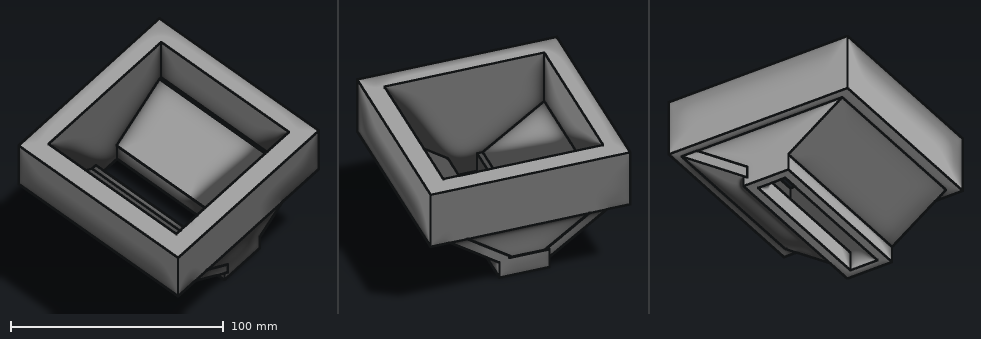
import cadquery as cq
import math

frame_side = 100.0
frame_wall = 10.0
frame_bottom = 30.0
frame_top = 60.0
opening = frame_side - 2 * frame_wall

slope = math.radians(35.3)
plate_thickness = 5.0
plate_length = 90.0
rear_plate_left = -plate_length / 2
front_plate_left = -44.7
rear_toe_y = 8.2
rear_toe_z = 10.9
rear_head_y = 38.7
front_toe_y = -9.2
front_head_y = -opening / 2

spout_height = 10.2
spout_left = -plate_length / 2
spout_right = plate_length / 2
spout_front = -11.4
spout_rear = 13.7
spout_wall = 5.0

end_left = -44.4
end_right = 45.0

plate_drop = plate_thickness / math.cos(slope)
toe_shift = plate_thickness * math.sin(slope)
toe_drop = plate_thickness * math.cos(slope)
rear_head_z = rear_toe_z + (rear_head_y - rear_toe_y) * math.tan(slope)
front_head_z = spout_height + (front_toe_y - front_head_y) * math.tan(slope)


def prism(points, x_start, x_end):
    """Extrude a closed YZ outline between two X positions."""
    outline = cq.Workplane("YZ").workplane(offset=x_start).polyline(points).close()
    return outline.extrude(x_end - x_start)


def block(x_range, y_range, z_range):
    """Box given by its limits along each axis."""
    (x0, x1), (y0, y1), (z0, z1) = x_range, y_range, z_range
    return cq.Workplane("XY").box(x1 - x0, y1 - y0, z1 - z0, centered=False).translate((x0, y0, z0))


def make_frame():
    height = frame_top - frame_bottom
    base = cq.Workplane("XY").workplane(offset=frame_bottom)
    outer = base.rect(frame_side, frame_side).extrude(height)
    return outer.cut(base.rect(opening, opening).extrude(height))


def make_rear_plate():
    outer_y = rear_toe_y + toe_shift
    outer_z = rear_toe_z - toe_drop
    frame_y = outer_y + (frame_bottom - outer_z) / math.tan(slope)
    head_y = opening / 2
    points = [
        (rear_toe_y, rear_toe_z),
        (rear_head_y, rear_head_z),
        (head_y, rear_head_z),
        (head_y, frame_bottom),
        (frame_y, frame_bottom),
        (outer_y, outer_z),
    ]
    return prism(points, rear_plate_left, rear_plate_left + plate_length)


def make_front_plate():
    frame_y = front_toe_y - (frame_bottom - spout_height + plate_drop) / math.tan(slope)
    points = [
        (front_toe_y, spout_height),
        (front_head_y, front_head_z),
        (front_head_y, frame_bottom),
        (frame_y, frame_bottom),
        (front_toe_y, spout_height - plate_drop),
    ]
    return prism(points, front_plate_left, front_plate_left + plate_length)


def make_end_plate(x_start, x_end):
    rear_y = rear_toe_y + (frame_bottom - rear_toe_z) / math.tan(slope)
    front_y = front_toe_y - (frame_bottom - spout_height) / math.tan(slope)
    points = [
        (front_toe_y, spout_height),
        (front_y, frame_bottom),
        (rear_y, frame_bottom),
        (rear_toe_y, rear_toe_z),
        (spout_rear - spout_wall, spout_height),
    ]
    return prism(points, x_start, x_end)


def make_spout():
    z_range = (0, spout_height)
    outer = block((spout_left, spout_right), (spout_front, spout_rear), z_range)
    slot_y = (spout_front + spout_wall, spout_rear - spout_wall)
    return outer.cut(block((-opening / 2, opening / 2), slot_y, z_range))


result = (
    make_frame()
    .union(make_rear_plate())
    .union(make_front_plate())
    .union(make_spout())
    .union(make_end_plate(end_left, -opening / 2))
    .union(make_end_plate(opening / 2, end_right))
)